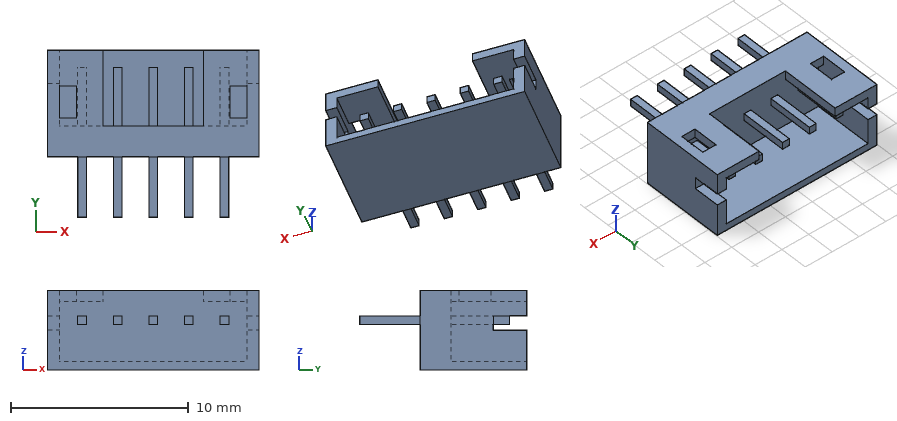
import cadquery as cq

width = 11.9
depth = 6.0
height = 4.5
side_wall = 0.67
top_wall = 0.62
floor = 0.49
cavity_depth = 4.26

notch_width = 5.65

slot_depth = 1.88
slot_height = 0.8
slot_bottom = 2.26

window_width = 0.98
window_length = 1.8
window_setback = 2.01

pin_count = 5
pin_pitch = 2.0
pin_size = 0.5
pin_height = 2.81
pin_tail = 3.4
pin_tip_setback = 0.96


def box(size_x, size_y, size_z, center_x, min_y, min_z):
    """Box centred on center_x, starting at min_y and min_z."""
    block = cq.Workplane("XY").box(size_x, size_y, size_z, centered=(True, False, False))
    return block.translate((center_x, min_y, min_z))


def make_housing():
    top_wall_bottom = height - top_wall
    cavity_back = depth - cavity_depth
    housing = box(width, depth, height, 0, 0, 0)
    cavity = box(width - 2 * side_wall, cavity_depth, top_wall_bottom - floor, 0, cavity_back, floor)
    notch = box(notch_width, cavity_depth, top_wall, 0, cavity_back, top_wall_bottom)
    side_slots = box(width, slot_depth, slot_height, 0, depth - slot_depth, slot_bottom)
    housing = housing.cut(cavity).cut(notch).cut(side_slots)

    window_x = width / 2 - side_wall - window_width / 2
    window_y = depth - window_setback - window_length
    for side in (-1, 1):
        window = box(window_width, window_length, top_wall, side * window_x, window_y, top_wall_bottom)
        housing = housing.cut(window)
    return housing


def make_pin(index):
    center_x = (index - (pin_count - 1) / 2) * pin_pitch
    length = pin_tail + depth - pin_tip_setback
    return box(pin_size, length, pin_size, center_x, -pin_tail, pin_height - pin_size / 2)


result = make_housing()
for pin_index in range(pin_count):
    result = result.union(make_pin(pin_index))